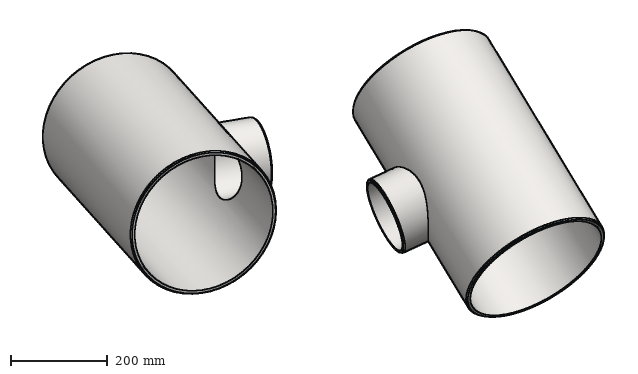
import cadquery as cq

run_length = 508.0
run_diameter = 324.0
run_wall = 8.5

branch_diameter = 168.0
branch_wall = 7.0
overall_depth = 381.0
branch_reach = overall_depth - run_diameter / 2

bevel_length = 3.0
run_bevel_depth = 2.5
branch_bevel_depth = 2.0


def run_cylinder(diameter):
    """Cylinder along X over the full run length."""
    return cq.Workplane("YZ").circle(diameter / 2).extrude(run_length / 2, both=True)


def branch_cylinder(diameter):
    """Cylinder along +Y from the run axis to the branch mouth."""
    return cq.Workplane("XZ").circle(diameter / 2).extrude(-branch_reach)


run_outer = run_cylinder(run_diameter).faces("|X").chamfer(bevel_length, run_bevel_depth)
branch_outer = branch_cylinder(branch_diameter).faces(">Y").chamfer(bevel_length, branch_bevel_depth)
run_bore = run_cylinder(run_diameter - 2 * run_wall)
branch_bore = branch_cylinder(branch_diameter - 2 * branch_wall)

result = run_outer.union(branch_outer).cut(run_bore).cut(branch_bore)